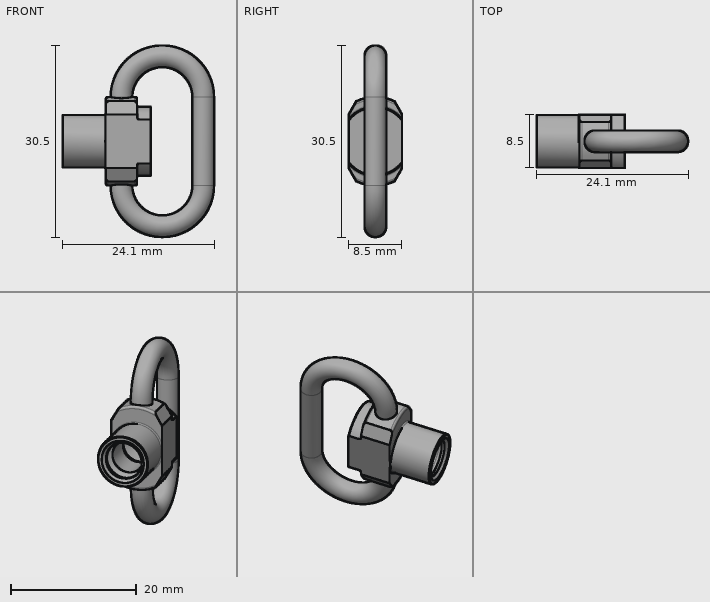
import cadquery as cq
import math


shank_length = 6.85
shank_radius = 4.2
flange_length = 5.0
flange_radius = 7.05
flange_rim_fillet = 0.4
disc_length = 2.2
disc_radius = 5.5
edge_chamfer = 0.1
shank_root_fillet = 0.2
disc_root_fillet = 0.25
flange_front = shank_length
flange_back = flange_front + flange_length
housing_length = flange_back + disc_length

housing_width = 8.5
side_flat_height = 8.54
bevel_angle = 30.0

mouth_chamfer = 0.53
lip_radius = 3.0
lip_end = 1.02
groove_radius = 0.75
groove_end = 2.76
groove_relief_end = 1.65
bore_radius = 2.66
bore_bottom_bevel = 0.1
bore_end = 8.0
bore_point_angle = 140.0

wire_diameter = 3.5
bend_radius = 6.5
straight_half_length = 7.0
leg_end_z = 4.0
leg_x = flange_front + flange_length / 2
loop_side_x = leg_x + 2 * bend_radius
bend_center_x = leg_x + bend_radius
bend_top_z = straight_half_length + bend_radius


def revolve_about_x(profile):
    """Close a profile drawn in the XY plane and turn it about the X axis."""
    return profile.close().revolve(360, (0, 0, 0), (1, 0, 0))


def quarter_arc(profile, start, end, center):
    """Run a line to the start of a quarter arc, then follow the arc to its end."""
    radius = math.dist(start, center)
    chord_middle = ((start[0] + end[0]) / 2, (start[1] + end[1]) / 2)
    stretch = radius / math.dist(chord_middle, center)
    middle = tuple(c + stretch * (m - c) for m, c in zip(chord_middle, center))
    return profile.lineTo(*start).threePointArc(middle, end)


def turned_blank():
    """Shank, flange and rear disc in one turned profile."""
    shank_root = shank_radius + shank_root_fillet
    disc_root = disc_radius + disc_root_fillet
    rim_corner = flange_radius - flange_rim_fillet
    rim_front = flange_front + flange_rim_fillet
    rim_back = flange_back - flange_rim_fillet
    shank_root_x = flange_front - shank_root_fillet
    disc_root_x = flange_back + disc_root_fillet

    profile = (
        cq.Workplane("XY")
        .lineTo(0, shank_radius - edge_chamfer)
        .lineTo(edge_chamfer, shank_radius)
    )
    profile = quarter_arc(
        profile, (shank_root_x, shank_radius), (flange_front, shank_root), (shank_root_x, shank_root)
    )
    profile = quarter_arc(
        profile, (flange_front, rim_corner), (rim_front, flange_radius), (rim_front, rim_corner)
    )
    profile = quarter_arc(
        profile, (rim_back, flange_radius), (flange_back, rim_corner), (rim_back, rim_corner)
    )
    profile = quarter_arc(
        profile, (flange_back, disc_root), (disc_root_x, disc_radius), (disc_root_x, disc_root)
    )
    profile = (
        profile.lineTo(housing_length - edge_chamfer, disc_radius)
        .lineTo(housing_length, disc_radius - edge_chamfer)
        .lineTo(housing_length, 0)
    )
    return revolve_about_x(profile)


def flats_envelope():
    """Prism along X whose side flats and bevels trim the turned blank."""
    half_width = housing_width / 2
    half_flat = side_flat_height / 2
    bevel_top_y = half_width - (flange_radius - half_flat) * math.tan(math.radians(bevel_angle))
    corners = [
        (half_width, half_flat),
        (bevel_top_y, flange_radius),
        (-bevel_top_y, flange_radius),
        (-half_width, half_flat),
        (-half_width, -half_flat),
        (-bevel_top_y, -flange_radius),
        (bevel_top_y, -flange_radius),
        (half_width, -half_flat),
    ]
    return cq.Workplane("YZ").polyline(corners).close().extrude(housing_length)


def socket_cavity():
    """Chamfered mouth, lip with a tapered relief, round groove and blind bore with a conical end."""
    groove_center_x = groove_end - groove_radius
    relief_offset = groove_center_x - groove_relief_end
    relief_radius = bore_radius + math.sqrt(groove_radius**2 - relief_offset**2)
    cone_radius = bore_radius - bore_bottom_bevel
    cone_depth = cone_radius / math.tan(math.radians(bore_point_angle / 2))
    profile = (
        cq.Workplane("XY")
        .lineTo(0, lip_radius + mouth_chamfer)
        .lineTo(mouth_chamfer, lip_radius)
        .lineTo(lip_end, lip_radius)
        .lineTo(groove_relief_end, relief_radius)
        .threePointArc(
            (groove_center_x, bore_radius + groove_radius),
            (groove_end, bore_radius),
        )
        .lineTo(bore_end - bore_bottom_bevel, bore_radius)
        .lineTo(bore_end, cone_radius)
        .lineTo(bore_end + cone_depth, 0)
    )
    return revolve_about_x(profile)


def make_loop():
    """Round wire bent into an oval that is open inside the flange."""
    path = (
        cq.Workplane("XZ")
        .moveTo(leg_x, leg_end_z)
        .lineTo(leg_x, straight_half_length)
        .threePointArc((bend_center_x, bend_top_z), (loop_side_x, straight_half_length))
        .lineTo(loop_side_x, -straight_half_length)
        .threePointArc((bend_center_x, -bend_top_z), (leg_x, -straight_half_length))
        .lineTo(leg_x, -leg_end_z)
    )
    section = cq.Workplane("XY", origin=(leg_x, 0, leg_end_z)).circle(wire_diameter / 2)
    return section.sweep(path)


loop = make_loop()
housing = turned_blank().intersect(flats_envelope()).cut(socket_cavity()).cut(loop)

result = cq.Compound.makeCompound([housing.solids().val(), loop.val()])